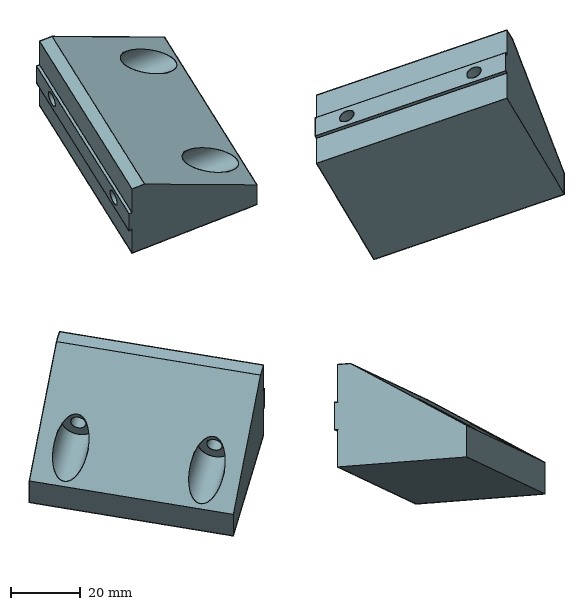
import cadquery as cq
import math

length = 60.0
height = 30.0
body_depth = 40.0
top_flat_depth = 4.0
slope_angle = 30.0
slope_drop = (body_depth - top_flat_depth) * math.tan(math.radians(slope_angle))
back_height = height - slope_drop

tongue_height = 8.0
tongue_projection = 0.95
tongue_bottom = (height - tongue_height) / 2
tongue_top = tongue_bottom + tongue_height

hole_spacing = 40.0
hole_diameter = 4.5
counterbore_diameter = 10.0
counterbore_floor = 20.0


def make_block():
    """Extrude the side profile, tongue included, along the length."""
    return (
        cq.Workplane("YZ")
        .moveTo(0, 0)
        .lineTo(body_depth, 0)
        .lineTo(body_depth, back_height)
        .lineTo(top_flat_depth, height)
        .lineTo(0, height)
        .lineTo(0, tongue_top)
        .lineTo(-tongue_projection, tongue_top)
        .lineTo(-tongue_projection, tongue_bottom)
        .lineTo(0, tongue_bottom)
        .close()
        .extrude(length / 2, both=True)
    )


def make_bore(x, diameter, start, end):
    """Cylinder along Y at mid height, from start to end."""
    return cq.Workplane(
        cq.Solid.makeCylinder(
            diameter / 2,
            end - start,
            cq.Vector(x, start, height / 2),
            cq.Vector(0, 1, 0),
        )
    )


result = make_block()
for hole_x in (-hole_spacing / 2, hole_spacing / 2):
    result = result.cut(make_bore(hole_x, hole_diameter, -tongue_projection, body_depth))
    result = result.cut(make_bore(hole_x, counterbore_diameter, counterbore_floor, body_depth))